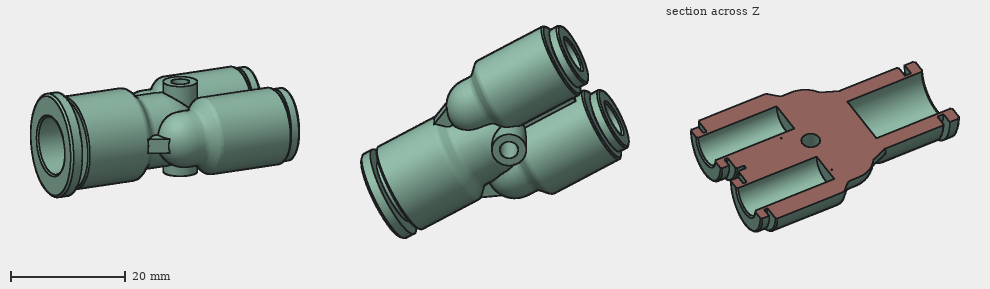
import cadquery as cq


outlet_spacing = 14.2
outlet_radius = 6.8
outlet_neck_radius = 4.93
outlet_mouth_y = 14.8
outlet_shoulder_y = 1.1
outlet_dome_y = -2.9

inlet_radius = 8.2
inlet_neck_radius = 6.48
inlet_mouth_y = -22.2
inlet_shoulder_y = -10.3
inlet_dome_y = -3.82

mouth_chamfer = 0.28
shoulder_fillet = 1.0
edge_match_tolerance = 0.01

outlet_collar_width = 11.0
outlet_collar_height = 13.0
outlet_collar_thickness = 1.7
outlet_collar_chamfer = 0.28
outlet_stem_radius = 3.77
outlet_stem_length = 0.6
inlet_collar_width = 16.15
inlet_collar_height = 18.5
inlet_collar_thickness = 2.1
inlet_collar_chamfer = 0.4
inlet_stem_radius = 5.83
inlet_stem_length = 1.15
stem_root = 1.0

inlet_bore_radius = 5.12
outlet_bore_radius = 3.1
bore_chamfer = 0.3

eyelet_radius = 3.0
eyelet_hole_radius = 1.6
eyelet_height = 2 * inlet_radius

web_thickness = 2.55
outlet_web_end_y = 13.2
side_rib_inset = 0.1
side_rib_inner_x = inlet_radius - side_rib_inset
side_rib_inner_y = -10.5
side_rib_outer_x = 9.65
side_rib_outer_y = -7.0


def domed_body(radius, neck_radius, mouth, shoulder, dome):
    """Turned body along +Y: mouth at the far end, 45 degree shoulder, domed neck."""
    neck_y = shoulder - (radius - neck_radius)
    body = (
        cq.Workplane("XY")
        .moveTo(0, mouth)
        .lineTo(radius, mouth)
        .lineTo(radius, shoulder)
        .lineTo(neck_radius, neck_y)
        .lineTo(neck_radius, dome)
        .radiusArc((0, dome - neck_radius), neck_radius)
        .close()
        .revolve(360, (0, 0, 0), (0, 1, 0))
    )
    body = body.faces(">Y").edges().chamfer(mouth_chamfer)

    def on_shoulder(edge):
        y = edge.Center().y
        is_ring = edge.geomType() == "CIRCLE"
        return is_ring and neck_y - edge_match_tolerance < y < shoulder + edge_match_tolerance

    return body.edges().filter(on_shoulder).fillet(shoulder_fillet)


def release_collar(mouth, stem_radius, stem_length, width, height, thickness, chamfer):
    """Stem rooted inside the body mouth, carrying an elliptical flange, along +Y."""
    upright = cq.Workplane("XZ", origin=(0, mouth + stem_length, 0))
    stem = upright.circle(stem_radius).extrude(stem_length + stem_root)
    flange = upright.ellipse(width / 2, height / 2).extrude(-thickness)
    return stem.union(flange.faces(">Y").edges().chamfer(chamfer))


def tube_bore(face, floor, radius):
    """Cutter for a blind bore along Y from the face to the floor, with a lead-in chamfer."""
    return (
        cq.Workplane("XY")
        .moveTo(0, face)
        .lineTo(radius + bore_chamfer, face)
        .lineTo(radius, face - bore_chamfer)
        .lineTo(radius, floor)
        .lineTo(0, floor)
        .close()
        .revolve(360, (0, 0, 0), (0, 1, 0))
    )


def make_outlet():
    """One outlet leg on the Y axis, and its bore cutter."""
    leg = domed_body(
        outlet_radius, outlet_neck_radius, outlet_mouth_y, outlet_shoulder_y, outlet_dome_y
    )
    collar = release_collar(
        outlet_mouth_y,
        outlet_stem_radius,
        outlet_stem_length,
        outlet_collar_width,
        outlet_collar_height,
        outlet_collar_thickness,
        outlet_collar_chamfer,
    )
    face_y = outlet_mouth_y + outlet_stem_length + outlet_collar_thickness
    return leg.union(collar), tube_bore(face_y, outlet_shoulder_y, outlet_bore_radius)


def make_inlet():
    """Inlet body and its bore cutter, shaped along +Y and then turned to face -Y."""
    body = domed_body(
        inlet_radius, inlet_neck_radius, -inlet_mouth_y, -inlet_shoulder_y, -inlet_dome_y
    )
    collar = release_collar(
        -inlet_mouth_y,
        inlet_stem_radius,
        inlet_stem_length,
        inlet_collar_width,
        inlet_collar_height,
        inlet_collar_thickness,
        inlet_collar_chamfer,
    )
    face_y = -inlet_mouth_y + inlet_stem_length + inlet_collar_thickness
    bore = tube_bore(face_y, -inlet_shoulder_y, inlet_bore_radius)
    z_axis = ((0, 0, 0), (0, 0, 1))
    return body.union(collar).rotate(*z_axis, 180), bore.rotate(*z_axis, 180)


def make_webs():
    """Web between the outlet legs, plus the slanted rib on each side of the inlet."""
    half_spacing = outlet_spacing / 2
    outline = [
        (-half_spacing, outlet_web_end_y),
        (half_spacing, outlet_web_end_y),
        (half_spacing, outlet_dome_y),
        (side_rib_outer_x, side_rib_outer_y),
        (side_rib_inner_x, side_rib_inner_y),
        (-side_rib_inner_x, side_rib_inner_y),
        (-side_rib_outer_x, side_rib_outer_y),
        (-half_spacing, outlet_dome_y),
    ]
    return cq.Workplane("XY").polyline(outline).close().extrude(web_thickness / 2, both=True)


def eyelet_cylinder(radius):
    """Full-height cylinder on the eyelet axis, used for both its wall and its hole."""
    return cq.Workplane("XY").circle(radius).extrude(eyelet_height / 2, both=True)


inlet, inlet_bore = make_inlet()
outlet, outlet_bore = make_outlet()

result = inlet.union(make_webs()).union(eyelet_cylinder(eyelet_radius))
for side in (-1, 1):
    result = result.union(outlet.translate((side * outlet_spacing / 2, 0, 0)))

result = result.cut(inlet_bore).cut(eyelet_cylinder(eyelet_hole_radius))
for side in (-1, 1):
    result = result.cut(outlet_bore.translate((side * outlet_spacing / 2, 0, 0)))